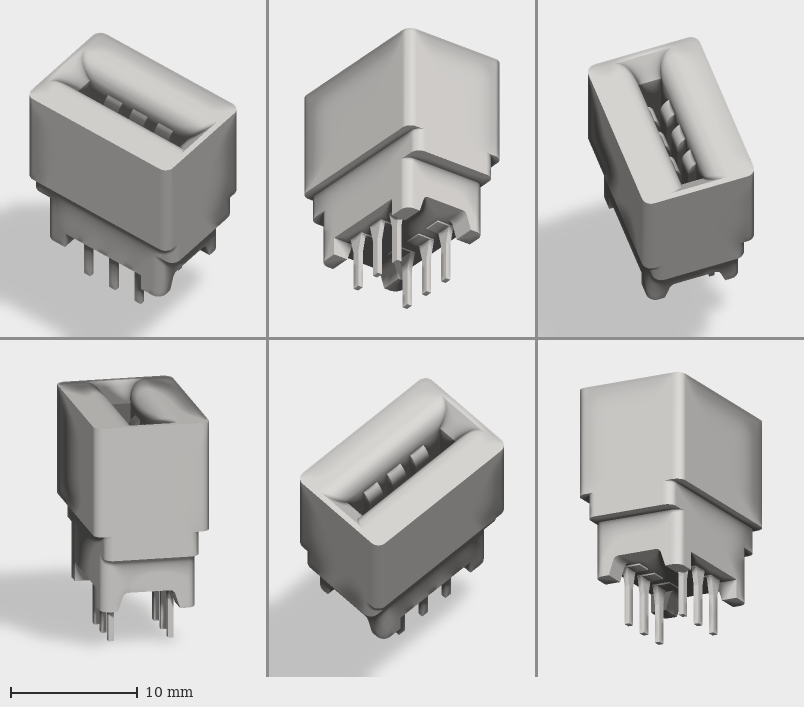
import cadquery as cq
import math

TOP_Z = 18.67
UPPER_BOTTOM_Z = 9.76
SHOULDER_Z = 7.77
CEILING_Z = 4.7
FEET_Z = 3.2

BODY_X = 14.23
BODY_Y = 9.35
LOWER_X = 11.45
LOWER_Y = 7.65
CORNER_RADIUS = 0.77

FRONT_GAP_X = 7.65
SIDE_GAP_BOTTOM_Y = 5.05
SIDE_GAP_TOP_Y = 4.03
SIDE_GAP_RADIUS = 0.49

SLOT_X = 10.2
SLOT_Y = 1.95
SLOT_FLOOR_Z = UPPER_BOTTOM_Z
LEAD_IN = 1.53

PITCH = 2.54
PINS_PER_ROW = 3
CONTACT_WIDTH = 1.45
CONTACT_GAP = 0.56
CROWN_RADIUS = 1.3
CROWN_CENTER_Z = 15.51
PIN_WIDTH = 0.63
PIN_THICKNESS = 0.43
PIN_OUTER_Y = 2.63
CONTACT_FOOT_INNER_Y = 1.08
CONTACT_FOOT_HEIGHT = 0.13
EMBED = 0.37


def block(size_x, size_y, bottom, top):
    """Box centred on the Z axis between two levels."""
    return cq.Workplane("XY", origin=(0, 0, bottom)).box(
        size_x, size_y, top - bottom, centered=(True, True, False)
    )


def rounded_block(size_x, size_y, bottom, top):
    return block(size_x, size_y, bottom, top).edges("|Z").fillet(CORNER_RADIUS)


def make_housing():
    upper = rounded_block(BODY_X, BODY_Y, UPPER_BOTTOM_Z, TOP_Z)
    middle = rounded_block(BODY_X, LOWER_Y, SHOULDER_Z, UPPER_BOTTOM_Z)
    lower = rounded_block(LOWER_X, LOWER_Y, FEET_Z, SHOULDER_Z)
    return upper.union(middle).union(lower)


def make_side_gap():
    """Drafted passage along X with rounded upper corners."""
    passage = (
        cq.Workplane("YZ")
        .moveTo(-SIDE_GAP_BOTTOM_Y / 2, FEET_Z)
        .lineTo(SIDE_GAP_BOTTOM_Y / 2, FEET_Z)
        .lineTo(SIDE_GAP_TOP_Y / 2, CEILING_Z)
        .lineTo(-SIDE_GAP_TOP_Y / 2, CEILING_Z)
        .close()
        .extrude(LOWER_X / 2, both=True)
    )
    return passage.edges("|X and >Z").fillet(SIDE_GAP_RADIUS)


def make_slot():
    """Straight slot under a mouth with rounded long lips and bevelled ends."""
    mouth_bottom = TOP_Z - LEAD_IN
    half_x = SLOT_X / 2
    half_y = SLOT_Y / 2
    lip_mid_y = half_y + LEAD_IN * (1 - math.sqrt(0.5))
    lip_mid_z = mouth_bottom + LEAD_IN * math.sqrt(0.5)

    lips = (
        cq.Workplane("YZ")
        .moveTo(-half_y, mouth_bottom)
        .lineTo(half_y, mouth_bottom)
        .threePointArc((lip_mid_y, lip_mid_z), (half_y + LEAD_IN, TOP_Z))
        .lineTo(-half_y - LEAD_IN, TOP_Z)
        .threePointArc((-lip_mid_y, lip_mid_z), (-half_y, mouth_bottom))
        .close()
        .extrude(BODY_X / 2, both=True)
    )
    bevels = (
        cq.Workplane("XZ")
        .moveTo(-half_x, mouth_bottom)
        .lineTo(half_x, mouth_bottom)
        .lineTo(half_x + LEAD_IN, TOP_Z)
        .lineTo(-half_x - LEAD_IN, TOP_Z)
        .close()
        .extrude(BODY_Y / 2, both=True)
    )
    return lips.intersect(bevels).union(block(SLOT_X, SLOT_Y, SLOT_FLOOR_Z, mouth_bottom))


def make_contact_blade():
    """Blade on the +Y slot wall whose crown curves into the slot."""
    tip_y = CONTACT_GAP / 2
    center_y = tip_y + CROWN_RADIUS
    diagonal = CROWN_RADIUS * math.sqrt(0.5)
    return (
        cq.Workplane("YZ")
        .moveTo(tip_y, SLOT_FLOOR_Z - EMBED)
        .lineTo(tip_y, CROWN_CENTER_Z)
        .threePointArc(
            (center_y - diagonal, CROWN_CENTER_Z + diagonal),
            (center_y, CROWN_CENTER_Z + CROWN_RADIUS),
        )
        .lineTo(center_y, SLOT_FLOOR_Z - EMBED)
        .close()
        .extrude(CONTACT_WIDTH / 2, both=True)
    )


def make_contact_foot():
    """Flat strip under the housing that carries the pin."""
    length = PIN_OUTER_Y - CONTACT_FOOT_INNER_Y
    bottom = CEILING_Z - CONTACT_FOOT_HEIGHT
    return cq.Workplane("XY", origin=(0, CONTACT_FOOT_INNER_Y, bottom)).box(
        CONTACT_WIDTH, length, CONTACT_FOOT_HEIGHT + EMBED, centered=(True, False, False)
    )


def make_pin():
    """Solder pin that tapers from the contact width to the pin width."""
    half_root = CONTACT_WIDTH / 2
    half_pin = PIN_WIDTH / 2
    root_z = CEILING_Z + EMBED
    outline = [
        (-half_pin, 0),
        (half_pin, 0),
        (half_pin, FEET_Z),
        (half_root, CEILING_Z),
        (half_root, root_z),
        (-half_root, root_z),
        (-half_root, CEILING_Z),
        (-half_pin, FEET_Z),
    ]
    return (
        cq.Workplane("XZ", origin=(0, PIN_OUTER_Y, 0))
        .polyline(outline)
        .close()
        .extrude(PIN_THICKNESS)
    )


result = make_housing()
result = result.cut(block(FRONT_GAP_X, LOWER_Y, FEET_Z, CEILING_Z))
result = result.cut(make_side_gap())
result = result.cut(make_slot())

contact = make_contact_blade().union(make_contact_foot()).union(make_pin())
for index in range(PINS_PER_ROW):
    offset_x = (index - (PINS_PER_ROW - 1) / 2) * PITCH
    back_contact = contact.translate((offset_x, 0, 0))
    result = result.union(back_contact).union(back_contact.mirror("XZ"))